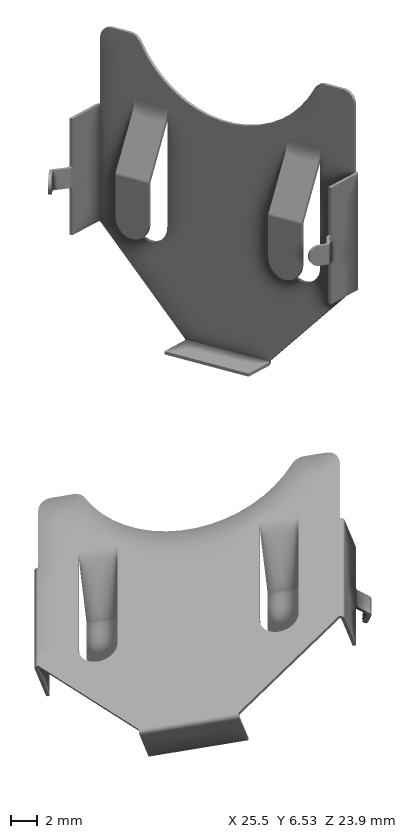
import cadquery as cq
import math


sheet = 0.25
bend_radius = 0.1
bend_outer = bend_radius + sheet

total_width = 25.5
total_depth = 6.53
total_height = 23.85

tab_outer_x = 11.95
plate_half_width = tab_outer_x - bend_outer
corner_radius = 1.0
notch_radius = 9.2
notch_bottom_z = 18.67

flap_half_width = 3.85
flap_depth = 2.93

tab_bottom_z = 8.0
tab_height = 9.38
tab_depth = 3.7

spring_width = 1.6
spring_out_angle = 35.5
spring_back_angle = 32.0
spring_lead = 0.18

tongue_x = 6.99
tongue_width = 3.03
tongue_depth = 2.68
tongue_tip_z = 8.47
tongue_angle = 27.5
tongue_root_radius = 1.84
slot_top_z = 18.45
slot_bottom_z = 7.47


def bent_strip(start, heading, moves, width, round_tip=False):
    """Fold a strip of sheet along a path in XY; its width is centred on Z = 0.

    start is on the face to the left of the path and heading is in degrees.
    A move is ("run", length) or ("turn", angle, inner radius); positive angles turn left.
    round_tip adds a half disc of the strip's width to the free end.
    """

    def along(point, distance, direction):
        angle = math.radians(direction)
        return (point[0] + distance * math.cos(angle), point[1] + distance * math.sin(angle))

    def right_face(point, direction):
        return along(point, sheet, direction - 90)

    left = start
    strip = None
    for kind, amount, *radius in moves:
        right = right_face(left, heading)
        if kind == "run":
            next_left = along(left, amount, heading)
            next_right = along(right, amount, heading)
            outline = cq.Workplane("XY").polyline([left, next_left, next_right, right])
        else:
            side = 90 if amount > 0 else -90
            inner_point = left if amount > 0 else right
            centre = along(inner_point, radius[0], heading + side)
            left_radius = math.dist(centre, left)
            right_radius = math.dist(centre, right)
            half_way = heading - side + amount / 2
            finish = heading - side + amount
            next_left = along(centre, left_radius, finish)
            next_right = along(centre, right_radius, finish)
            outline = (
                cq.Workplane("XY")
                .moveTo(*left)
                .threePointArc(along(centre, left_radius, half_way), next_left)
                .lineTo(*next_right)
                .threePointArc(along(centre, right_radius, half_way), right)
            )
            heading += amount
        piece = outline.close().extrude(width / 2, both=True)
        strip = piece if strip is None else strip.union(piece)
        left = next_left

    if round_tip:
        forward = along((0, 0), 1, heading)
        outward = right_face((0, 0), heading)
        tip_plane = cq.Plane(origin=(*left, 0), xDir=(*forward, 0), normal=(*outward, 0))
        radius = width / 2
        tip = (
            cq.Workplane(tip_plane)
            .moveTo(0, -radius)
            .threePointArc((radius, 0), (0, radius))
            .close()
            .extrude(sheet)
        )
        strip = strip.union(tip)
    return strip


def in_yz(strip):
    """Turn a strip folded in XY so that its path lies in YZ and its width runs along X."""
    return cq.Workplane(strip.val().moved(cq.Location(cq.Plane.YZ())))


def both_sides(body):
    return body.union(body.mirror("YZ"))


def make_plate():
    notch_centre_z = notch_bottom_z + notch_radius
    crest_centre_z = total_height - corner_radius
    centre_distance = notch_radius + corner_radius
    crest_x = math.sqrt(centre_distance**2 - (notch_centre_z - crest_centre_z) ** 2)
    tangent_x = crest_x * notch_radius / centre_distance
    tangent_z = notch_centre_z + (crest_centre_z - notch_centre_z) * notch_radius / centre_distance
    crest_half_angle = math.atan2(crest_x - tangent_x, tangent_z - crest_centre_z) / 2
    crest_middle = (
        crest_x - corner_radius * math.sin(crest_half_angle),
        crest_centre_z + corner_radius * math.cos(crest_half_angle),
    )
    notch_half_angle = math.asin(tangent_x / notch_radius) / 2
    notch_middle = (
        notch_radius * math.sin(notch_half_angle),
        notch_centre_z - notch_radius * math.cos(notch_half_angle),
    )
    corner_x = plate_half_width - corner_radius
    corner_reach = corner_radius * math.sqrt(0.5)

    half = (
        cq.Workplane("XZ")
        .moveTo(0, bend_outer)
        .lineTo(flap_half_width, bend_outer)
        .lineTo(plate_half_width, tab_bottom_z)
        .lineTo(plate_half_width, crest_centre_z)
        .threePointArc((corner_x + corner_reach, crest_centre_z + corner_reach), (corner_x, total_height))
        .lineTo(crest_x, total_height)
        .threePointArc(crest_middle, (tangent_x, tangent_z))
        .threePointArc(notch_middle, (0, notch_bottom_z))
        .close()
        .extrude(sheet)
    )
    return both_sides(half)


def make_slot():
    radius = tongue_width / 2
    round_centre_z = slot_bottom_z + radius
    return (
        cq.Workplane("XZ")
        .moveTo(-tongue_x - radius, slot_top_z)
        .lineTo(-tongue_x - radius, round_centre_z)
        .threePointArc((-tongue_x, slot_bottom_z), (-tongue_x + radius, round_centre_z))
        .lineTo(-tongue_x + radius, slot_top_z)
        .close()
        .extrude(sheet)
    )


def make_tongue():
    slope = math.radians(tongue_angle)
    bends_rise = (tongue_root_radius + bend_outer) * (1 - math.cos(slope))
    ramp = (tongue_depth - sheet - bends_rise) / math.sin(slope)
    bends_drop = (tongue_root_radius + bend_outer) * math.sin(slope)
    flat_top_z = slot_top_z - bends_drop - ramp * math.cos(slope)
    flat = flat_top_z - tongue_tip_z - tongue_width / 2
    moves = [
        ("turn", -tongue_angle, tongue_root_radius),
        ("run", ramp),
        ("turn", tongue_angle, bend_radius),
        ("run", flat),
    ]
    strip = bent_strip((0, slot_top_z), -90, moves, tongue_width, round_tip=True)
    return in_yz(strip).translate((-tongue_x, 0, 0))


def make_flap():
    moves = [("turn", -90, bend_radius), ("run", flap_depth - bend_outer)]
    return in_yz(bent_strip((0, bend_outer), -90, moves, 2 * flap_half_width))


def make_tab():
    moves = [("turn", 90, bend_radius), ("run", tab_depth - bend_outer)]
    return bent_strip((-plate_half_width, -sheet), 180, moves, tab_height)


def make_spring():
    out_slope = math.radians(spring_out_angle)
    back_slope = math.radians(spring_back_angle)
    bends_offset = (bend_radius + bend_outer) * (1 - math.cos(out_slope))
    out_leg = (total_width / 2 - tab_outer_x - bends_offset) / math.sin(out_slope)
    lean_depth = (bend_radius + bend_outer) * math.sin(out_slope) + out_leg * math.cos(out_slope)
    knee_end_depth = tab_depth + spring_lead + lean_depth + bend_outer * math.sin(back_slope)
    back_leg = (total_depth - knee_end_depth) / math.cos(back_slope)
    moves = [
        ("run", spring_lead),
        ("turn", -spring_out_angle, bend_radius),
        ("run", out_leg),
        ("turn", spring_out_angle + spring_back_angle, bend_radius),
        ("run", back_leg - spring_width / 2),
    ]
    start = (-tab_outer_x + sheet, -tab_depth)
    return bent_strip(start, -90, moves, spring_width, round_tip=True)


tab_middle_z = tab_bottom_z + tab_height / 2
side_clip = make_tab().union(make_spring()).translate((0, 0, tab_middle_z))

result = (
    make_plate()
    .cut(both_sides(make_slot()))
    .union(both_sides(make_tongue()))
    .union(make_flap())
    .union(both_sides(side_clip))
)